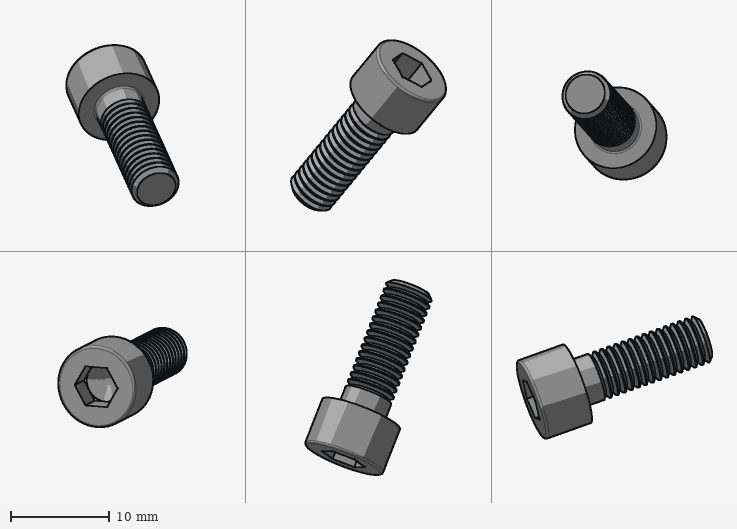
import cadquery as cq
import math

total_length = 19.0

head_diameter = 8.5
head_length = 5.0
head_rim_fillet = 0.25

shank_diameter = 5.0
neck_fillet = 0.19
tip_chamfer = 0.45

groove_count = 15
first_groove_x = 7.4
last_groove_x = 18.2
crest_width = 0.13
groove_depth = 0.44
groove_pitch = (last_groove_x - first_groove_x) / (groove_count - 1)
groove_width = groove_pitch - crest_width

socket_across_flats = 4.07
socket_depth = 2.5
socket_cone_angle = 120.0
socket_corner_diameter = socket_across_flats / math.cos(math.radians(30))
socket_cone_depth = socket_across_flats / 2 / math.tan(math.radians(socket_cone_angle / 2))

axis_start = (0, 0, 0)
axis_end = (1, 0, 0)


def make_blank():
    """Revolve the head and the shank, with their rounded edges and the tip chamfer."""
    head_radius = head_diameter / 2
    shank_radius = shank_diameter / 2
    arc_midpoint_inset = 1 - math.sqrt(0.5)
    rim_inset = head_rim_fillet * arc_midpoint_inset
    neck_inset = neck_fillet * arc_midpoint_inset
    return (
        cq.Workplane("XY")
        .moveTo(0, 0)
        .lineTo(0, head_radius - head_rim_fillet)
        .threePointArc((rim_inset, head_radius - rim_inset), (head_rim_fillet, head_radius))
        .lineTo(head_length, head_radius)
        .lineTo(head_length, shank_radius + neck_fillet)
        .threePointArc(
            (head_length + neck_inset, shank_radius + neck_inset),
            (head_length + neck_fillet, shank_radius),
        )
        .lineTo(total_length - tip_chamfer, shank_radius)
        .lineTo(total_length, shank_radius - tip_chamfer)
        .lineTo(total_length, 0)
        .close()
        .revolve(360, axis_start, axis_end)
    )


def make_groove(center_x):
    """Make the V-shaped ring removed by one thread groove."""
    shank_radius = shank_diameter / 2
    outer_scale = 1.2
    half_width = groove_width / 2 * outer_scale
    root_radius = shank_radius - groove_depth
    outer_radius = root_radius + groove_depth * outer_scale
    return (
        cq.Workplane("XY")
        .moveTo(center_x, root_radius)
        .lineTo(center_x + half_width, outer_radius)
        .lineTo(center_x - half_width, outer_radius)
        .close()
        .revolve(360, axis_start, axis_end)
    )


def make_socket():
    """Make the hexagon prism, corners toward +Y and -Y, and the cone at its bottom."""
    hexagon = cq.Workplane("YZ").polygon(6, socket_corner_diameter).extrude(socket_depth)
    cone = (
        cq.Workplane("XY")
        .moveTo(socket_depth, 0)
        .lineTo(socket_depth, socket_across_flats / 2)
        .lineTo(socket_depth + socket_cone_depth, 0)
        .close()
        .revolve(360, axis_start, axis_end)
    )
    return hexagon.union(cone)


result = make_blank().cut(make_socket())
for index in range(groove_count):
    result = result.cut(make_groove(first_groove_x + index * groove_pitch))